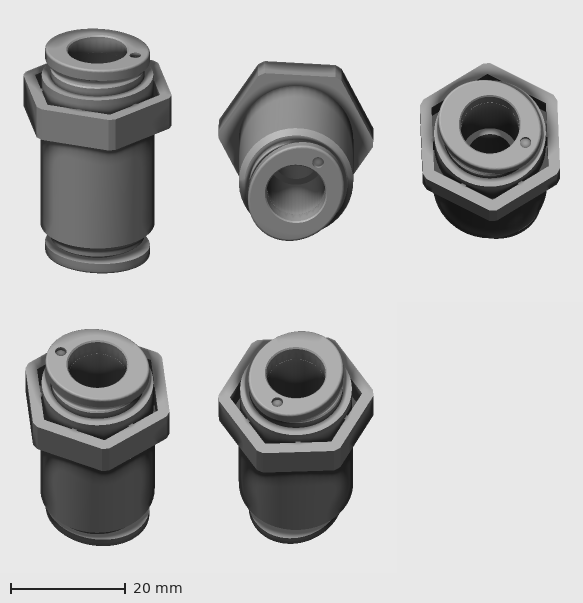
import cadquery as cq
import math

total_length = 40.0
flange_thickness = 2.0
collar_start = 3.3
body_start = 5.0
half_length = total_length / 2
body_half_length = half_length - body_start

barrel_diameter = 20.0
barrel_chamfer = 1.0
neck_diameter = 19.5
hex_top_from_end = 7.0
hex_height = 6.0
hex_across_flats = 24.0
hex_corner_diameter = 27.0
pocket_across_flats = 20.0
pocket_floor = 1.0
rib_width = 0.9
hex_top = half_length - hex_top_from_end
hex_bottom = hex_top - hex_height

tube_bore_diameter = 10.15
passage_diameter = 8.0
tube_stop_from_end = 18.0
tube_bore_depth = tube_stop_from_end - body_start

collar_diameter = 16.5
collar_chamfer = 0.25
collar_height = body_start - collar_start

flange_length_x = 18.55
flange_width_y = 16.0
flange_edge_radius = 0.4
sleeve_diameter = 11.7
sleeve_bore_diameter = 10.2
sleeve_mouth_diameter = 10.4
sleeve_mouth_chamfer = 0.25
marker_diameter = 2.0
marker_depth = 0.8
marker_offset = 7.0


def hexagon(across_flats, height, bottom):
    """Hexagonal prism with corners on the X axis."""
    across_corners = across_flats / math.cos(math.radians(30))
    return cq.Workplane("XY").workplane(offset=bottom).polygon(6, across_corners).extrude(height)


def cylinder(diameter, height, bottom):
    """Upright cylinder on the Z axis."""
    return cq.Workplane("XY").workplane(offset=bottom).circle(diameter / 2).extrude(height)


def make_hex_flange():
    """Hexagonal flange with trimmed corners, a pocket around the neck and a rib at each flat."""
    trim = cylinder(hex_corner_diameter, hex_height, hex_bottom)
    pocket = hexagon(pocket_across_flats, hex_height - pocket_floor, hex_bottom + pocket_floor)
    flange = hexagon(hex_across_flats, hex_height, hex_bottom).intersect(trim).cut(pocket)
    rib_span = (pocket_across_flats + hex_across_flats) / 2
    for angle in (30, 90, 150):
        rib = cq.Workplane("XY").box(rib_span, rib_width, hex_height)
        rib = rib.translate((0, 0, hex_bottom + hex_height / 2))
        flange = flange.union(rib.rotate((0, 0, 0), (0, 0, 1), angle))
    return flange


def make_body():
    """Barrel, neck and hexagonal flange with a stepped tube passage from both ends."""
    barrel = cylinder(barrel_diameter, hex_bottom + body_half_length, -body_half_length)
    barrel = barrel.faces("<Z").chamfer(barrel_chamfer)
    neck = cylinder(neck_diameter, body_half_length - hex_bottom, hex_bottom)
    body = barrel.union(make_hex_flange()).union(neck)
    body = body.cut(cylinder(passage_diameter, total_length, -half_length))
    body = body.cut(cylinder(tube_bore_diameter, tube_bore_depth, -body_half_length))
    return body.cut(cylinder(tube_bore_diameter, tube_bore_depth, body_half_length - tube_bore_depth))


def make_collar():
    """Ring that closes the upper end of the body."""
    collar = cylinder(collar_diameter, collar_height, body_half_length)
    collar = collar.faces(">Z").chamfer(collar_chamfer)
    return collar.cut(cylinder(tube_bore_diameter, collar_height, body_half_length))


def make_sleeve():
    """Upper release sleeve: elliptical flange on a short tube with a tapered bore."""
    flange_bottom = half_length - flange_thickness
    sleeve_bottom = half_length - collar_start
    flange = cq.Workplane("XY").workplane(offset=flange_bottom)
    flange = flange.ellipse(flange_length_x / 2, flange_width_y / 2).extrude(flange_thickness)
    flange = flange.faces(">Z").edges().fillet(flange_edge_radius)
    tube = cylinder(sleeve_diameter, collar_start - flange_thickness, sleeve_bottom)
    mouth_radius = sleeve_mouth_diameter / 2
    bore = (
        cq.Workplane("XZ")
        .moveTo(0, sleeve_bottom)
        .lineTo(sleeve_bore_diameter / 2, sleeve_bottom)
        .lineTo(mouth_radius, half_length - sleeve_mouth_chamfer)
        .lineTo(mouth_radius + sleeve_mouth_chamfer, half_length)
        .lineTo(0, half_length)
        .close()
        .revolve(360, (0, 0, 0), (0, 1, 0))
    )
    marker = cylinder(marker_diameter, marker_depth, half_length - marker_depth)
    marker = marker.translate((marker_offset, 0, 0))
    return flange.union(tube).cut(bore).cut(marker)


def fit_both_ends(fitting):
    """The upper fitting and its copy turned end over end about the X axis."""
    return [fitting.rotate((0, 0, 0), (1, 0, 0), turn).val() for turn in (0, 180)]


body = make_body()
collars = fit_both_ends(make_collar())
sleeves = fit_both_ends(make_sleeve())

result = cq.Compound.makeCompound([body.val(), *collars, *sleeves])